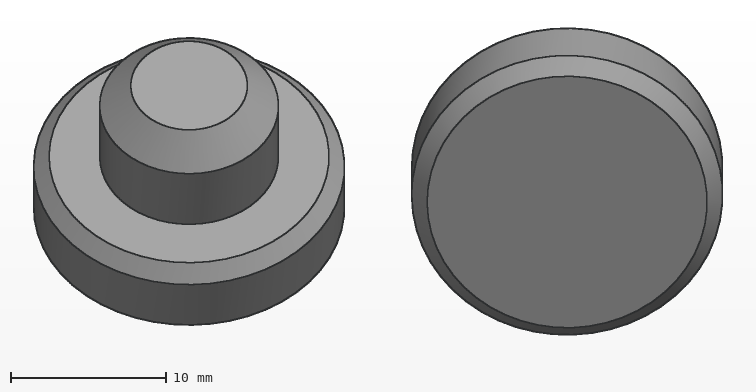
import cadquery as cq

flange_diameter = 20.0
flange_height = 6.0
flange_chamfer = 1.0
pin_diameter = 11.5
pin_height = 7.0
pin_chamfer = 2.0


def make_flange():
    """Round base disc, chamfered on both rims."""
    disc = cq.Workplane("XY").circle(flange_diameter / 2).extrude(flange_height)
    return disc.edges("%CIRCLE").chamfer(flange_chamfer)


def make_pin():
    """Round pin standing on the flange, with a chamfered tip."""
    pin = (
        cq.Workplane("XY")
        .workplane(offset=flange_height)
        .circle(pin_diameter / 2)
        .extrude(pin_height)
    )
    return pin.faces(">Z").edges().chamfer(pin_chamfer)


result = make_flange().union(make_pin())